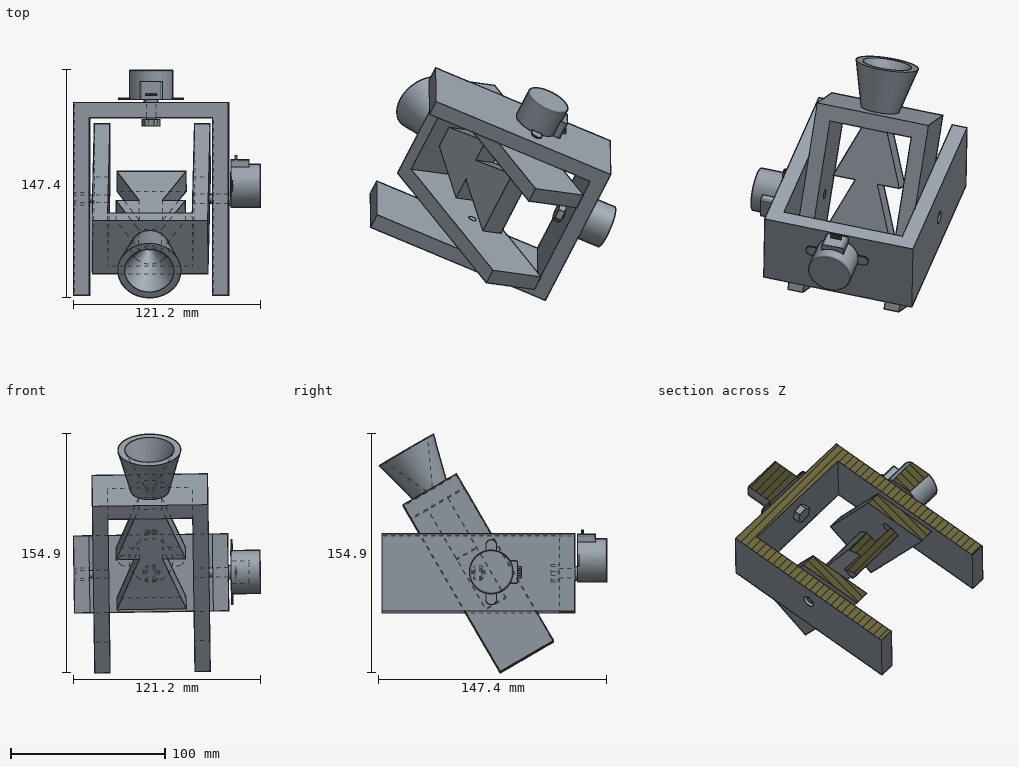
import cadquery as cq

ROLL_ANGLE = 0.83
PITCH_ANGLE = 30.2

FRAME_WALL = 10.0
OUTER_WIDTH = 100.0
OUTER_LENGTH = 125.0
OUTER_HEIGHT = 50.0

INNER_WIDTH = 75.0
INNER_HEIGHT = OUTER_LENGTH
INNER_DEPTH = 40.0

SPLITTER_THICKNESS = 15.0
TIER_HEIGHT = 37.5
TIER_TOP_WIDTH = 15.0
TIER_BOTTOM_WIDTH = 44.9

FUNNEL_HEIGHT = 30.0
FUNNEL_TOP_RADIUS = 20.5
FUNNEL_BOTTOM_RADIUS = 12.5
CONE_TOP_RADIUS = 16.0
CONE_BOTTOM_RADIUS = 2.0

SHAFT_DIAMETER = 6.0
HEX_ACROSS_CORNERS = 12.0
HEX_THICKNESS = 4.5
HEX_GAP = 1.0
HEX_TURN = -12
PIVOT_DIAMETER = 5.1
PIVOT_CLEARANCE_DIAMETER = 8.0
PIVOT_RECESS = 1.4

BOSS_DIAMETER = 9.0
BOSS_LENGTH = 1.7
MOTOR_RADIUS = 14.1
MOTOR_LENGTH = 19.0
MOTOR_OFFSET = 8.4
MOTOR_EDGE_RADIUS = 0.5
EAR_SPAN = 42.1
EAR_WIDTH = 7.0
EAR_THICKNESS = 1.0
EAR_SETBACK = 0.2
WIRE_BOX_WIDTH = 14.5
WIRE_BOX_LENGTH = 11.6
WIRE_BOX_TOP = 17.0
WIRE_BOX_EDGE_RADIUS = 1.1
TERMINAL_COUNT = 5
TERMINAL_PITCH = 1.5
TERMINAL_DIAMETER = 1.2
TERMINAL_HEIGHT = 2.6
TERMINAL_SETBACK = 3.3

INNER_SIDE = INNER_WIDTH / 2
OUTER_SIDE = OUTER_WIDTH / 2
OUTER_BACK = OUTER_LENGTH / 2
BRIDGE_TOP = INNER_HEIGHT / 2
BRIDGE_UNDERSIDE = BRIDGE_TOP - FRAME_WALL


def rolled(body):
    return body.rotate((0, 0, 0), (0, 1, 0), -ROLL_ANGLE)


def pitched(body):
    return body.rotate((0, 0, 0), (1, 0, 0), PITCH_ANGLE)


def rod_x(diameter, start, end):
    """Round rod on the X axis."""
    return cq.Workplane("YZ", origin=(start, 0, 0)).circle(diameter / 2).extrude(end - start)


def rod_y(diameter, start, end):
    """Round rod on the Y axis."""
    return cq.Workplane("XZ", origin=(0, start, 0)).circle(diameter / 2).extrude(start - end)


def make_outer_frame():
    cavity_width = OUTER_WIDTH - 2 * FRAME_WALL
    cavity = cq.Workplane("XY").box(cavity_width, OUTER_LENGTH, OUTER_HEIGHT).translate((0, -FRAME_WALL, 0))
    frame = cq.Workplane("XY").box(OUTER_WIDTH, OUTER_LENGTH, OUTER_HEIGHT).cut(cavity)
    frame = frame.cut(rod_x(PIVOT_CLEARANCE_DIAMETER, -OUTER_SIDE, 0))
    frame = frame.cut(rod_x(SHAFT_DIAMETER, 0, OUTER_SIDE))
    return frame.cut(rod_y(SHAFT_DIAMETER, 0, OUTER_BACK))


def make_inner_frame():
    cavity_width = INNER_WIDTH - 2 * FRAME_WALL
    cavity = cq.Workplane("XY").box(cavity_width, INNER_DEPTH, INNER_HEIGHT).translate((0, 0, -FRAME_WALL))
    frame = cq.Workplane("XY").box(INNER_WIDTH, INNER_DEPTH, INNER_HEIGHT).cut(cavity)
    frame = frame.cut(rod_x(PIVOT_DIAMETER, -INNER_SIDE, 0))
    return frame.cut(rod_x(SHAFT_DIAMETER, 0, INNER_SIDE))


def make_splitter():
    waist = TIER_TOP_WIDTH / 2
    skirt = TIER_BOTTOM_WIDTH / 2
    middle = BRIDGE_UNDERSIDE - TIER_HEIGHT
    bottom = middle - TIER_HEIGHT
    right_side = [(waist, BRIDGE_UNDERSIDE), (skirt, middle), (waist, middle), (skirt, bottom)]
    left_side = [(-x, z) for x, z in reversed(right_side)]
    profile = cq.Workplane("XZ").polyline(right_side + left_side).close()
    return profile.extrude(SPLITTER_THICKNESS / 2, both=True)


def make_funnel():
    profile = [
        (CONE_BOTTOM_RADIUS, 0),
        (FUNNEL_BOTTOM_RADIUS, 0),
        (FUNNEL_TOP_RADIUS, FUNNEL_HEIGHT),
        (CONE_TOP_RADIUS, FUNNEL_HEIGHT),
    ]
    funnel = cq.Workplane("XZ").polyline(profile).close().revolve(360, (0, 0, 0), (0, 1, 0))
    return funnel.translate((0, 0, BRIDGE_TOP))


def make_hex_shaft():
    """Drive shaft through the back wall, with a hexagonal head inside the outer frame."""
    head_back = OUTER_BACK - FRAME_WALL - HEX_GAP
    head = cq.Workplane("XZ", origin=(0, head_back, 0)).polygon(6, HEX_ACROSS_CORNERS).extrude(HEX_THICKNESS)
    head = head.rotate((0, 0, 0), (0, 1, 0), HEX_TURN)
    return head.union(rod_y(SHAFT_DIAMETER, head_back, OUTER_BACK))


def make_drive_shaft():
    """Plain shaft from the motor boss through both +X walls."""
    return rod_x(SHAFT_DIAMETER, INNER_SIDE - FRAME_WALL, OUTER_SIDE)


def make_pivot_pin():
    """Pin held in the -X leg of the inner frame, loose in the outer frame."""
    return rod_x(PIVOT_DIAMETER, PIVOT_RECESS - OUTER_SIDE, FRAME_WALL - INNER_SIDE)


def make_motor():
    """Motor whose boss starts at the origin and runs along +Y, with the wire box on top."""
    front = BOSS_LENGTH
    can = cq.Workplane("XZ", origin=(0, front, MOTOR_OFFSET)).circle(MOTOR_RADIUS).extrude(-MOTOR_LENGTH)
    can = can.faces(">Y").edges().fillet(MOTOR_EDGE_RADIUS)
    boss = rod_y(BOSS_DIAMETER, 0, front)
    ears = (
        cq.Workplane("XZ", origin=(0, front + EAR_SETBACK, MOTOR_OFFSET))
        .slot2D(EAR_SPAN, EAR_WIDTH)
        .extrude(-EAR_THICKNESS)
    )
    wire_box = (
        cq.Workplane("XY", origin=(0, front + WIRE_BOX_LENGTH / 2, MOTOR_OFFSET))
        .rect(WIRE_BOX_WIDTH, WIRE_BOX_LENGTH)
        .extrude(WIRE_BOX_TOP)
        .edges("|Y and >Z")
        .fillet(WIRE_BOX_EDGE_RADIUS)
    )
    terminals = (
        cq.Workplane("XY", origin=(0, front + TERMINAL_SETBACK, MOTOR_OFFSET))
        .rarray(TERMINAL_PITCH, 1.5, TERMINAL_COUNT, 1)
        .circle(TERMINAL_DIAMETER / 2)
        .extrude(WIRE_BOX_TOP + TERMINAL_HEIGHT)
    )
    return can.union(boss).union(ears).union(wire_box).union(terminals)


def make_back_motor():
    return make_motor().translate((0, OUTER_BACK, 0))


def make_side_motor():
    """Motor turned so that its boss runs along +X and its wire box points along +Y."""
    return make_motor().rotate((0, 0, 0), (1, 1, 1), -120).translate((OUTER_SIDE, 0, 0))


outer_frame = rolled(make_outer_frame())
hex_shaft = rolled(make_hex_shaft())
drive_shaft = rolled(make_drive_shaft())
side_motor = rolled(make_side_motor())
inner_frame = rolled(pitched(make_inner_frame()))
pivot_pin = rolled(pitched(make_pivot_pin()))
splitter = rolled(pitched(make_splitter()))
funnel = rolled(pitched(make_funnel()))
back_motor = make_back_motor()

bodies = [
    outer_frame, inner_frame, splitter, funnel, hex_shaft, drive_shaft, pivot_pin, side_motor, back_motor
]
result = cq.Compound.makeCompound([body.val() for body in bodies])